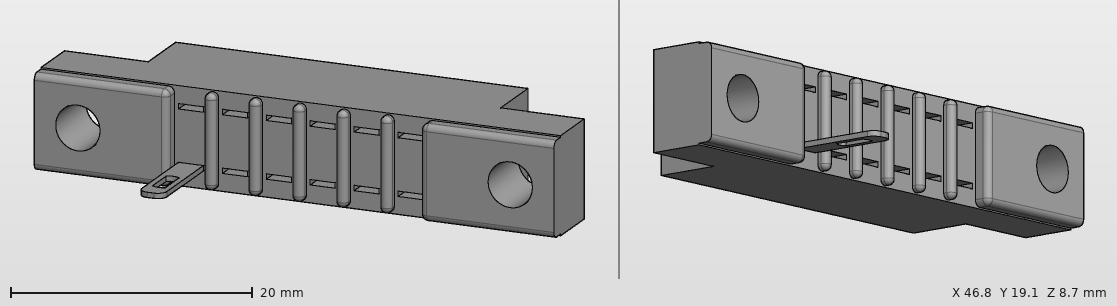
import cadquery as cq

LENGTH = 46.8
HEIGHT = 8.7
BLOCK_LENGTH = 31.72
BACK_Y = 10.7
FLANGE_DEPTH = 4.95

RAISED_HEIGHT = 8.4
PAD_LENGTH = 12.03
PAD_THICKNESS = 1.4
PAD_ROUND = 0.55
HOLE_DIAMETER = 4.0
HOLE_SPACING = 38.95

POSITIONS = 6
RIB_COUNT = POSITIONS - 1
RIB_SPAN = 15.8
PITCH = RIB_SPAN / (RIB_COUNT - 1)
RIB_WIDTH = 1.05
RIB_RADIUS = RIB_WIDTH / 2
RIB_PROTRUSION = 0.85
ROW_SPACING = 5.1

TERMINAL_WIDTH = 2.25
TERMINAL_THICKNESS = 0.45
TIP_Y = -8.45
TIP_ROUND = 0.8
EYE_WIDTH = 1.15
EYE_LENGTH = 3.25
EYE_BULGE = 0.2
EYE_TO_TIP = 1.6


def box_between(length, height, front_y, back_y):
    """Box centred on X and Z that spans front_y to back_y."""
    box = cq.Workplane("XY").box(length, back_y - front_y, height)
    return box.translate((0, (front_y + back_y) / 2, 0))


def position_x(index):
    """X of a contact position, counted from the -X end."""
    return (index - (POSITIONS - 1) / 2) * PITCH


def make_left_pad():
    """Pad at the -X end, rounded along its inner corners and front edges."""
    pad = box_between(PAD_LENGTH, RAISED_HEIGHT, -PAD_THICKNESS, 0)
    pad = pad.edges(">X and |Y").fillet(PAD_ROUND)
    pad = pad.faces("<Y").edges("not <X").fillet(PAD_ROUND)
    return pad.translate(((PAD_LENGTH - LENGTH) / 2, 0, 0))


def make_rib():
    """Upright rib with a half-round front and ball-shaped ends."""
    axis_y = RIB_RADIUS - RIB_PROTRUSION
    axis_length = RAISED_HEIGHT - RIB_WIDTH
    base = cq.Workplane("XZ").slot2D(RAISED_HEIGHT, RIB_WIDTH, 90).extrude(-axis_y)
    front = cq.Workplane("XY").circle(RIB_RADIUS).extrude(axis_length / 2, both=True)
    front = front.translate((0, axis_y, 0))
    rib = base.union(front)
    for end_z in (-axis_length / 2, axis_length / 2):
        rib = rib.union(cq.Workplane("XY").sphere(RIB_RADIUS).translate((0, axis_y, end_z)))
    return rib


def make_housing():
    """Flange and block with pads, ribs, contact slots and mounting holes."""
    flange = box_between(LENGTH, HEIGHT, 0, FLANGE_DEPTH)
    block = box_between(BLOCK_LENGTH, HEIGHT, 0, BACK_Y)
    housing = flange.union(block)

    left_pad = make_left_pad()
    housing = housing.union(left_pad).union(left_pad.mirror("YZ"))

    rib = make_rib()
    for index in range(RIB_COUNT):
        rib_x = (position_x(index) + position_x(index + 1)) / 2
        housing = housing.union(rib.translate((rib_x, 0, 0)))

    contact_slot = box_between(TERMINAL_WIDTH, TERMINAL_THICKNESS, 0, BACK_Y)
    for index in range(POSITIONS):
        for row_z in (-ROW_SPACING / 2, ROW_SPACING / 2):
            housing = housing.cut(contact_slot.translate((position_x(index), 0, row_z)))

    hole = cq.Workplane("XZ", origin=(0, -PAD_THICKNESS, 0)).circle(HOLE_DIAMETER / 2)
    hole = hole.extrude(-(PAD_THICKNESS + FLANGE_DEPTH))
    for hole_x in (-HOLE_SPACING / 2, HOLE_SPACING / 2):
        housing = housing.cut(hole.translate((hole_x, 0, 0)))
    return housing


def make_terminal():
    """Terminal in the lower slot of the first position, with a rounded tail and an eye."""
    blade = box_between(TERMINAL_WIDTH, TERMINAL_THICKNESS, TIP_Y, BACK_Y)
    blade = blade.edges("<Y and |Z").fillet(TIP_ROUND)

    half_eye = EYE_WIDTH / 2
    eye_front = TIP_Y + EYE_TO_TIP
    eye_back = eye_front + EYE_LENGTH
    eye = (
        cq.Workplane("XY")
        .moveTo(-half_eye, eye_front + EYE_BULGE)
        .threePointArc((0, eye_front), (half_eye, eye_front + EYE_BULGE))
        .lineTo(half_eye, eye_back - EYE_BULGE)
        .threePointArc((0, eye_back), (-half_eye, eye_back - EYE_BULGE))
        .close()
        .extrude(TERMINAL_THICKNESS / 2, both=True)
    )
    return blade.cut(eye).translate((position_x(0), 0, -ROW_SPACING / 2))


housing = make_housing()
terminal = make_terminal()
result = cq.Compound.makeCompound([housing.solids().val(), terminal.solids().val()])